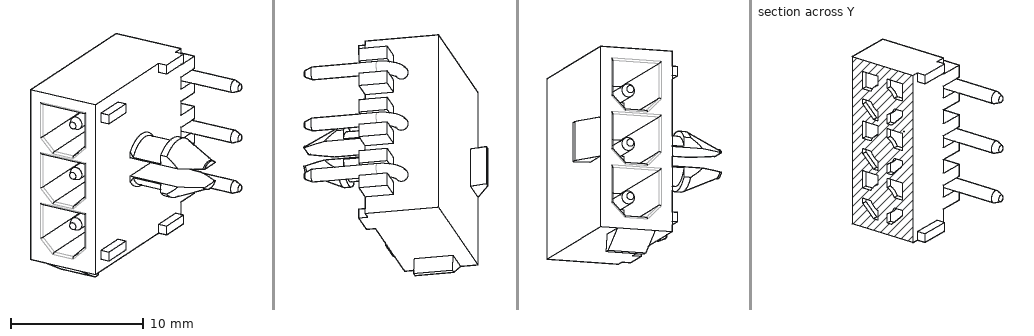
import cadquery as cq
import math


WIDTH = 5.73
DEPTH = 12.69
HEIGHT = 13.97
MID_X = WIDTH / 2
MID_Z = HEIGHT / 2

PITCH = 4.14
PIN_HEIGHTS = [MID_Z + step * PITCH for step in (-1, 0, 1)]

MOUTH_SIZE = 4.0
MOUTH_CORNER = 1.1
RIM_MARGIN = 0.15
LEAD_IN = 0.15
CAVITY_SIZE = MOUTH_SIZE - 2 * LEAD_IN
CAVITY_DEPTH = 8.4
CORE_DEPTH = 0.76
FLOOR_RIB = 0.9
FLOOR_BOSS_DIAMETER = 2.38

PIN_DIAMETER = 1.0
PIN_RADIUS = PIN_DIAMETER / 2
PIN_INSET = 1.3
BEND_RADIUS = 1.51
PIN_END = 10.12
TIP_TAPER = 0.52
TIP_NOSE = 0.14
TIP_RADIUS = 0.27

GUIDE_START = 3.51
GUIDE_SPAN = 3.0
GUIDE_LENGTH = BEND_RADIUS + PIN_RADIUS

LATCH_RISE = 1.3
LATCH_WIDTH = 3.02
LATCH_FOOT = 2.46
LATCH_TOP_BACK = 2.7
LATCH_TOP_FRONT = 2.21

STANDOFF_RISE = 0.7
STANDOFF_LENGTH = 2.52
STANDOFF_THICKNESS = 0.73
STANDOFF_FRONT_Y = 0.8
STANDOFF_REAR_Y = 9.35
STANDOFF_FRONT_INSET = 0.98

PEG_Y = 6.85
PEG_WIDTH = 3.44
PEG_GAP = 1.5
PEG_RADIUS = 1.91
PEG_FLARE_RADIUS = 2.1
PEG_FLARE_END = WIDTH + 0.27
HOOK_RADIUS = 2.3
HOOK_START = 8.41
HOOK_TAPER_START = 8.95
PEG_TIP_RADIUS = 1.11
PEG_TIP_START = 11.59
PEG_END = 11.73


def box(x0, x1, y0, y1, z0, z1):
    """Box between two opposite corners."""
    return cq.Workplane("XY").box(x1 - x0, y1 - y0, z1 - z0, centered=False).translate((x0, y0, z0))


def keyed_outline(size, corner, y, z):
    """Square on the pin axis with its two lower corners cut off, in a plane facing the front."""
    half = size / 2
    return (
        cq.Workplane("XZ", origin=(MID_X, y, z))
        .moveTo(-half, half)
        .lineTo(half, half)
        .lineTo(half, corner - half)
        .lineTo(half - corner, -half)
        .lineTo(corner - half, -half)
        .lineTo(-half, corner - half)
        .close()
    )


def cavity(z):
    """Space removed for one cavity: keyed well and core pockets around ribs and boss."""
    corner = MOUTH_CORNER - LEAD_IN * (2 - math.sqrt(2))
    well = keyed_outline(CAVITY_SIZE, corner, 0, z).extrude(-CAVITY_DEPTH)

    floor = cq.Workplane("XZ", origin=(MID_X, CAVITY_DEPTH, z))
    cores = (
        keyed_outline(CAVITY_SIZE, corner, CAVITY_DEPTH, z)
        .extrude(-CORE_DEPTH)
        .cut(floor.rect(FLOOR_RIB, CAVITY_SIZE).extrude(-CORE_DEPTH))
        .cut(floor.rect(CAVITY_SIZE, FLOOR_RIB).extrude(-CORE_DEPTH))
        .cut(floor.circle(FLOOR_BOSS_DIAMETER / 2).extrude(-CORE_DEPTH))
    )
    return well.union(cores)


def straight_pin(length):
    """Round pin along +X from the origin, with a tapered tip and a domed end."""
    dome_radius = (TIP_RADIUS ** 2 + TIP_NOSE ** 2) / (2 * TIP_NOSE)
    dome_center = length - dome_radius
    half_sweep = math.asin(TIP_RADIUS / dome_radius) / 2
    dome_middle = (dome_center + dome_radius * math.cos(half_sweep), dome_radius * math.sin(half_sweep))

    taper_start = length - TIP_NOSE - TIP_TAPER
    return (
        cq.Workplane("XY")
        .lineTo(0, PIN_RADIUS)
        .lineTo(taper_start, PIN_RADIUS)
        .lineTo(length - TIP_NOSE, TIP_RADIUS)
        .threePointArc(dome_middle, (length, 0))
        .close()
        .revolve(360, (0, 0), (1, 0))
    )


def bent_pin(z):
    """Contact pin: straight through the housing, quarter bend, straight towards the board."""
    mating_leg = (
        straight_pin(DEPTH - PIN_INSET)
        .rotate((0, 0, 0), (0, 0, 1), -90)
        .translate((MID_X, DEPTH, z))
    )
    bend_end = MID_X + BEND_RADIUS
    bend = (
        cq.Workplane("XZ", origin=(MID_X, DEPTH, z))
        .circle(PIN_RADIUS)
        .revolve(90, (BEND_RADIUS, 0), (BEND_RADIUS, -1))
    )
    board_leg = straight_pin(PIN_END - bend_end).translate((bend_end, DEPTH + BEND_RADIUS, z))
    return mating_leg.union(bend).union(board_leg)


def pin_guide(z):
    """Pair of walls on the back, one each side of a pin."""
    back = DEPTH + GUIDE_LENGTH
    walls = box(GUIDE_START, WIDTH, DEPTH, back, z - GUIDE_SPAN / 2, z + GUIDE_SPAN / 2)
    return walls.cut(box(GUIDE_START, WIDTH, DEPTH, back, z - PIN_RADIUS, z + PIN_RADIUS))


def latch(plane, center):
    """Ramp rising from the mating face on a housing side; the plane maps (rise, Y)."""
    return (
        cq.Workplane(plane)
        .polyline([
            (0, 0),
            (LATCH_RISE, LATCH_TOP_FRONT),
            (LATCH_RISE, LATCH_TOP_BACK),
            (0, LATCH_FOOT),
        ])
        .close()
        .extrude(LATCH_WIDTH / 2, both=True)
        .translate(center)
    )


def standoff(y, z):
    """Standoff rib on the board side, starting at the given Y and Z."""
    return box(WIDTH, WIDTH + STANDOFF_RISE, y, y + STANDOFF_LENGTH, z, z + STANDOFF_THICKNESS)


def split_peg():
    """Board-lock peg: turned profile flattened on both sides and split by a central gap."""
    turned = (
        cq.Workplane("XY")
        .moveTo(WIDTH, 0)
        .lineTo(WIDTH, PEG_FLARE_RADIUS)
        .lineTo(PEG_FLARE_END, PEG_RADIUS)
        .lineTo(HOOK_START, PEG_RADIUS)
        .lineTo(HOOK_START, HOOK_RADIUS)
        .lineTo(HOOK_TAPER_START, HOOK_RADIUS)
        .lineTo(PEG_TIP_START, PEG_TIP_RADIUS)
        .lineTo(PEG_END, PEG_TIP_RADIUS)
        .lineTo(PEG_END, 0)
        .close()
        .revolve(360, (0, 0), (1, 0))
    )
    half_width = PEG_WIDTH / 2
    flats = box(WIDTH, PEG_END, -half_width, half_width, -HOOK_RADIUS, HOOK_RADIUS)
    gap = box(WIDTH, PEG_END, -half_width, half_width, -PEG_GAP / 2, PEG_GAP / 2)
    return turned.intersect(flats).cut(gap).translate((0, PEG_Y, MID_Z))


result = box(0, WIDTH, 0, DEPTH, 0, HEIGHT)
for pin_z in PIN_HEIGHTS:
    result = result.cut(cavity(pin_z))
inside_rim = cq.selectors.BoxSelector(
    (RIM_MARGIN, -RIM_MARGIN, RIM_MARGIN),
    (WIDTH - RIM_MARGIN, RIM_MARGIN, HEIGHT - RIM_MARGIN),
)
result = result.faces("<Y").edges(inside_rim).fillet(LEAD_IN)

for pin_z in PIN_HEIGHTS:
    result = result.union(pin_guide(pin_z)).union(bent_pin(pin_z))

side_plane = cq.Plane(origin=(0, 0, 0), xDir=(-1, 0, 0), normal=(0, 0, -1))
under_plane = cq.Plane(origin=(0, 0, 0), xDir=(0, 0, -1), normal=(1, 0, 0))
result = result.union(latch(side_plane, (0, 0, MID_Z)))
result = result.union(latch(under_plane, (MID_X, 0, 0)))

top_standoff = HEIGHT - STANDOFF_THICKNESS
for rib_z in (0, top_standoff):
    result = result.union(standoff(STANDOFF_REAR_Y, rib_z))
for rib_z in (STANDOFF_FRONT_INSET, top_standoff - STANDOFF_FRONT_INSET):
    result = result.union(standoff(STANDOFF_FRONT_Y, rib_z))

result = result.union(split_peg())